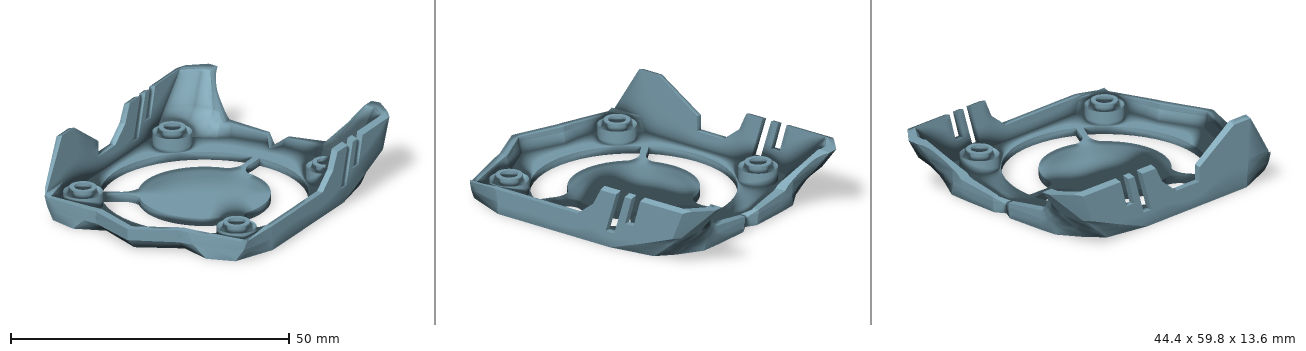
import cadquery as cq
import math

half_width = 22.2
wall = 1.2
inner_half_width = half_width - wall
floor_top = 1.5

front_tip_y = -27.55
front_bevel_z = 2.3
wing_base_z = 5.2
wing_top_z = 11.0
fin_top_z = 13.55
clearance = 3.0
trim_reach = 35.85

opening_radius = 18.7
hub_radius = 11.95
spoke_angles = (90, 211, 329)
spoke_tip_half_width = 0.65
spoke_root_half_width = 1.2
spoke_foot_half_width = 2.15
spoke_root_radius = 12.75

post_offset = 15.95
post_diameter = 7.2
post_top_z = 4.2
seat_diameter = 5.75
seat_z = post_top_z - (post_diameter - seat_diameter) / 2
neck_diameter = 3.6
lip_diameter = 4.9
lip_thickness = 0.25
lip_top_z = 5.15
bore_diameter = 3.2

outer_bottom = [
    (0, -25.1), (8.15, -21.05), (13.85, -23.25), (18.95, -21.65), (half_width, -13.75), (half_width, 11.6),
    (20.6, 20.3), (17.65, 23.1), (13.15, 25.95), (9.55, 26.2), (2.0, 26.35), (0, 25.15),
]
outer_bevel = [
    (0, front_tip_y), (8.55, -23.8), (11.35, -23.55), (20.45, -21.15), (half_width, -13.9), (half_width, 18.05),
    (20.7, 23.2), (17.15, 25.0), (12.55, 26.25), (9.75, 26.4), (2.0, 26.7), (0, 25.15),
]
outer_waist_front = [(0, front_tip_y), (8.7, -23.8), (9.85, -23.55), (21.45, -20.85), (half_width, -14.2)]
outer_waist = outer_waist_front + [
    (half_width, 25.7), (20.8, 26.7), (16.15, 27.4), (11.95, 26.9), (9.9, 26.5), (2.0, 26.8), (0, 25.15),
]
outer_top = outer_waist_front[:-1] + [
    (half_width, -14.7), (half_width, 28.15), (17.8, 32.2), (15.9, 32.2), (14.9, 29.55), (10.75, 28.1),
    (2.0, 26.8), (0, 25.15),
]

inner_floor = [
    (0, -25.3), (8.2, -21.75), (11.95, -21.4), (18.4, -20.0), (inner_half_width, -13.55),
    (inner_half_width, 18.4), (16.15, 20.5), (13.15, 21.8), (10.75, 22.9), (8.65, 24.4), (1.75, 25.45), (0, 23.2),
]
inner_front = [(0, -26.0), (8.3, -22.25), (10.75, -21.95), (20.15, -20.2), (inner_half_width, -14.35)]
inner_waist = inner_front + [
    (inner_half_width, 21.95), (16.85, 25.7), (13.15, 25.7), (10.75, 25.0), (9.25, 24.8), (1.75, 25.6), (0, 23.2),
]
inner_top = inner_front + [
    (inner_half_width, 27.4), (17.9, 29.9), (16.15, 29.9), (15.05, 28.4), (10.75, 26.3), (1.75, 25.6), (0, 23.2),
]
inner_waist_z = 5.5
inner_bevel_z = 3.6
bevel_share = (inner_bevel_z - floor_top) / (inner_waist_z - floor_top)
inner_bevel = inner_front + [
    (low[0] + bevel_share * (high[0] - low[0]), low[1] + bevel_share * (high[1] - low[1]))
    for low, high in zip(inner_floor[5:], inner_waist[5:])
]

bevel_drop = 0.4
shoulder_z = 4.7
wing_rim = [
    (32.6, 11.1, 0.2), (28.15, 11.2, bevel_drop), (9.45, 11.05, bevel_drop), (7.85, 7.6, 0), (4.2, shoulder_z, 0),
]
fin_rim = [
    (-1.75, shoulder_z, 0), (-1.75, 7.7, 0.2), (-10.5, fin_top_z, bevel_drop), (-14.75, fin_top_z, bevel_drop),
    (-20.6, 4.05, 0), (-23.9, 4.05, 0),
]
low_rim = [(-14.95, shoulder_z, 0), (-20.9, 4.1, 0), (-23.9, 4.1, 0)]

rear_rim = [(0, 1.7), (2.0, 3.1), (10.15, 3.95), (13.85, 8.1), (15.95, wing_top_z), (inner_half_width, 11.2)]
front_rim = [(0, 4.4), (8.65, 4.6), (20.15, 3.95), (inner_half_width, 4.4)]

slots = [(18.5, 16.9, 5.5), (15.0, 12.55, 3.0)]
slot_width = 1.9
slot_top_z = 10.9


def mirrored(half):
    """Close a half outline across the YZ plane."""
    return half + [(-x, y) for x, y in reversed(half[1:-1])]


def faceted(levels):
    """Ruled solid through (height, half outline) levels."""
    wires = [
        cq.Wire.makePolygon([cq.Vector(x, y, z) for x, y in mirrored(half)], close=True)
        for z, half in levels
    ]
    return cq.Workplane(obj=cq.Solid.makeLoft(wires, True))


def side_envelope(rim, side):
    """Space below one side wall's rim; the rim slopes down to the outer face."""
    def section(x, drop_share):
        top = [cq.Vector(x, y, z - drop_share * drop) for y, z, drop in rim]
        base = [cq.Vector(x, rim[-1][0], -clearance), cq.Vector(x, rim[0][0], -clearance)]
        return cq.Wire.makePolygon(top + base, close=True)

    inner = section(side * inner_half_width, 0)
    outer = section(side * half_width, 1)
    return cq.Workplane(obj=cq.Solid.makeLoft([inner, outer], True))


def cross_envelope(rim, y_from, y_to):
    """Space between the side walls below a symmetric rim."""
    half = rim + [(inner_half_width, -clearance)]
    points = half + [(-x, z) for x, z in reversed(half) if x > 0]
    return cq.Workplane("XZ", origin=(0, y_from, 0)).polyline(points).close().extrude(y_from - y_to)


def tray():
    """Faceted shell trimmed to its rims."""
    outer = faceted([
        (0, outer_bottom), (front_bevel_z, outer_bevel), (wing_base_z, outer_waist),
        (wing_top_z, outer_top), (fin_top_z + clearance, outer_top),
    ])
    cavity = faceted([
        (floor_top, inner_floor), (inner_bevel_z, inner_bevel), (inner_waist_z, inner_waist),
        (wing_top_z, inner_top), (fin_top_z + 2 * clearance, inner_top),
    ])
    envelope = (
        cross_envelope(rear_rim, 0, trim_reach)
        .union(cross_envelope(front_rim, -trim_reach, 0))
        .union(side_envelope(wing_rim + fin_rim, -1))
        .union(side_envelope(wing_rim + low_rim, 1))
    )
    return outer.cut(cavity).intersect(envelope)


def wall_slots():
    """Slanted slots through both side walls, open at the rim."""
    cutters = cq.Workplane()
    inner_end = inner_half_width - wall / 2
    depth = half_width + clearance - inner_end
    for top_y, bottom_y, bottom_z in slots:
        lean = (top_y - bottom_y) / (slot_top_z - bottom_z)
        open_y = top_y + lean * clearance
        points = [
            (open_y, slot_top_z + clearance), (open_y - slot_width, slot_top_z + clearance),
            (bottom_y - slot_width, bottom_z), (bottom_y, bottom_z),
        ]
        for start in (-half_width - clearance, inner_end):
            cutters = cutters.union(
                cq.Workplane("YZ", origin=(start, 0, 0)).polyline(points).close()
                .extrude(depth)
            )
    return cutters


def spoke(angle):
    """One spoke along +X that widens into the hub, turned to its angle."""
    foot_x = math.sqrt(hub_radius ** 2 - spoke_foot_half_width ** 2)
    tip_x = opening_radius + wall / 2
    flare_x = (spoke_root_radius + opening_radius) / 2
    outline = (
        cq.Workplane("XY")
        .moveTo(tip_x, -spoke_tip_half_width)
        .lineTo(tip_x, spoke_tip_half_width)
        .lineTo(flare_x, spoke_tip_half_width)
        .threePointArc((spoke_root_radius, spoke_root_half_width), (foot_x, spoke_foot_half_width))
        .lineTo(foot_x, -spoke_foot_half_width)
        .threePointArc((spoke_root_radius, -spoke_root_half_width), (flare_x, -spoke_tip_half_width))
        .close()
    )
    return outline.extrude(floor_top).rotate((0, 0, 0), (0, 0, 1), angle)


def grille():
    """Hub disc and its spokes."""
    plate = cq.Workplane("XY").circle(hub_radius).extrude(floor_top)
    for angle in spoke_angles:
        plate = plate.union(spoke(angle))
    return plate


def post():
    """Post with a countersunk seat and a lipped, bored stud; revolved from (radius, z)."""
    points = [
        (0, floor_top / 2), (post_diameter / 2, floor_top / 2), (post_diameter / 2, post_top_z),
        (seat_diameter / 2, seat_z), (neck_diameter / 2, seat_z),
        (neck_diameter / 2, lip_top_z - lip_thickness), (lip_diameter / 2, lip_top_z - lip_thickness),
        (lip_diameter / 2, lip_top_z), (bore_diameter / 2, lip_top_z), (bore_diameter / 2, seat_z),
        (0, seat_z),
    ]
    return cq.Workplane("XZ").polyline(points).close().revolve(360, (0, 0, 0), (0, 1, 0))


opening = cq.Workplane("XY").circle(opening_radius).extrude(floor_top + clearance)
result = tray().cut(opening).cut(wall_slots()).union(grille())
for x_side in (-1, 1):
    for y_side in (-1, 1):
        result = result.union(post().translate((x_side * post_offset, y_side * post_offset, 0)))